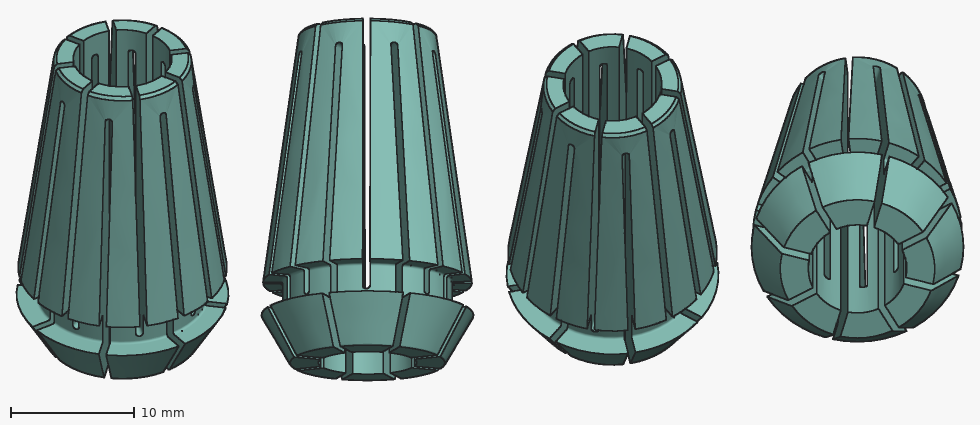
import cadquery as cq
import math

TOTAL_HEIGHT = 27.5
BORE_DIAMETER = 8.0

RING_RADIUS = 8.625
RING_HEIGHT = 3.98
RING_ANGLE = 30.0
RING_EDGE_BREAK = 0.1

GROOVE_RADIUS = 6.9
GROOVE_TOP = 6.7
GROOVE_FILLET = 0.2

CONE_RADIUS = 8.5
CONE_ANGLE = 8.0
TOP_CHAMFER = 0.25

SLOT_WIDTH = 0.6
SLOTS_PER_SET = 8
LOWER_SLOT_END = 25.5
UPPER_SLOT_END = 4.6
SLOT_CLEARANCE = 1.0

SLOT_PITCH = 360.0 / SLOTS_PER_SET


def revolved_body():
    """Collet body without slots: half section turned about Z."""
    bore_radius = BORE_DIAMETER / 2
    ring_slope = math.tan(math.radians(RING_ANGLE))
    cone_slope = math.tan(math.radians(CONE_ANGLE))
    ring_bottom_radius = RING_RADIUS - RING_HEIGHT * ring_slope
    chamfer_start = TOTAL_HEIGHT - TOP_CHAMFER
    cone_top_radius = CONE_RADIUS - (chamfer_start - GROOVE_TOP) * cone_slope
    fillet_radius = GROOVE_RADIUS + GROOVE_FILLET
    fillet_mid = GROOVE_FILLET * (1 - math.sqrt(0.5))

    section = (
        cq.Workplane("XZ")
        .moveTo(bore_radius, 0)
        .lineTo(ring_bottom_radius + RING_EDGE_BREAK * (ring_slope - 1), 0)
        .lineTo(ring_bottom_radius + RING_EDGE_BREAK * ring_slope, RING_EDGE_BREAK)
        .lineTo(RING_RADIUS, RING_HEIGHT)
        .lineTo(fillet_radius, RING_HEIGHT)
        .threePointArc(
            (GROOVE_RADIUS + fillet_mid, RING_HEIGHT + fillet_mid),
            (GROOVE_RADIUS, RING_HEIGHT + GROOVE_FILLET),
        )
        .lineTo(GROOVE_RADIUS, GROOVE_TOP - GROOVE_FILLET)
        .threePointArc(
            (GROOVE_RADIUS + fillet_mid, GROOVE_TOP - fillet_mid),
            (fillet_radius, GROOVE_TOP),
        )
        .lineTo(CONE_RADIUS, GROOVE_TOP)
        .lineTo(cone_top_radius, chamfer_start)
        .lineTo(cone_top_radius - TOP_CHAMFER, TOTAL_HEIGHT)
        .lineTo(bore_radius, TOTAL_HEIGHT)
        .close()
    )
    return section.revolve(360, (0, 0, 0), (0, 1, 0))


def slot_cutter(open_end, closed_end, angle):
    """Radial slot from the axis outwards, with a half-round closed end."""
    half_width = SLOT_WIDTH / 2
    toward_open = math.copysign(1, open_end - closed_end)
    arc_start = closed_end + toward_open * half_width
    reach = RING_RADIUS + SLOT_CLEARANCE
    outline = (
        cq.Workplane("YZ")
        .moveTo(-half_width, open_end)
        .lineTo(-half_width, arc_start)
        .threePointArc((0, closed_end), (half_width, arc_start))
        .lineTo(half_width, open_end)
        .close()
    )
    return outline.extrude(reach).rotate((0, 0, 0), (0, 0, 1), angle)


result = revolved_body()
for index in range(SLOTS_PER_SET):
    lower_angle = index * SLOT_PITCH
    upper_angle = lower_angle + SLOT_PITCH / 2
    result = result.cut(slot_cutter(-SLOT_CLEARANCE, LOWER_SLOT_END, lower_angle))
    result = result.cut(slot_cutter(TOTAL_HEIGHT + SLOT_CLEARANCE, UPPER_SLOT_END, upper_angle))